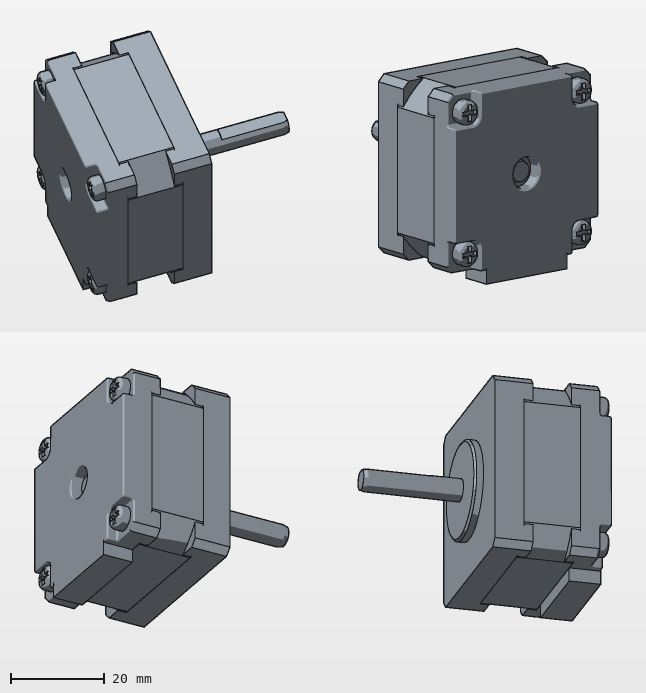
import cadquery as cq


FRAME_WIDTH = 39.3
FRAME_HALF = FRAME_WIDTH / 2
CORNER_CHAMFER = 1.55

STATOR_REAR = 7.0
STATOR_LENGTH = 12.5
STATOR_FRONT = STATOR_REAR + STATOR_LENGTH
SEAT_DEPTH = 2.0
REAR_CAP_END = STATOR_REAR + SEAT_DEPTH
FRONT_CAP_START = STATOR_FRONT - SEAT_DEPTH
FRONT_FACE = 26.0
BOSS_HEIGHT = 2.0
SHAFT_TIP = 50.0

STATOR_RADIUS = 24.0
SEAT_RADIUS = 24.25

BOSS_RADIUS = 11.0
BOSS_CHAMFER = 0.5

SHAFT_RADIUS = 2.5
SHAFT_TAPER_LENGTH = 1.0
SHAFT_TAPER_DEPTH = 0.25
SHAFT_REAR = 2.0
FLAT_LENGTH = 15.0
FLAT_HEIGHT = 2.0

EDGE_RADIUS = 0.5
SHAFT_RECESS_RADIUS = 3.5
SHAFT_RECESS_DEPTH = 3.0
CONNECTOR_WIDTH = 22.0
CONNECTOR_DROP = 3.0
CONNECTOR_LENGTH = STATOR_REAR

SCREW_OFFSET = 15.5
HEAD_RADIUS = 2.7
HEAD_ROUND = 1.05
CROSS_LENGTH = 3.7
CROSS_WIDTH = 1.0
CROSS_DEPTH = 1.0
POCKET_WALL = 12.6
POCKET_RADIUS = 2.0
POCKET_DEPTH = 2.55

TOLERANCE = 0.005
CORNERS = [(sx, sz) for sx in (-1, 1) for sz in (-1, 1)]


def box(x_range, y_range, z_range):
    """Box between the given limits."""
    (x0, x1), (y0, y1), (z0, z1) = x_range, y_range, z_range
    return cq.Workplane("XY").box(x1 - x0, y1 - y0, z1 - z0, centered=False).translate((x0, y0, z0))


def cylinder(radius, y_start, y_end):
    """Cylinder on the motor axis between two Y positions."""
    return cq.Workplane("XZ", origin=(0, y_start, 0)).circle(radius).extrude(y_start - y_end)


def square_block(y_start, y_end):
    """Square length of the motor frame."""
    plane = cq.Workplane("XZ", origin=(0, y_start, 0))
    return plane.rect(FRAME_WIDTH, FRAME_WIDTH).extrude(y_start - y_end)


def cap_block(y_start, y_end):
    """Square length of the motor frame with chamfered corners."""
    return square_block(y_start, y_end).edges("|Y").chamfer(CORNER_CHAMFER)


def make_shaft():
    """Round shaft tapered at both ends, with a flat on top near the tip."""
    tapered_radius = SHAFT_RADIUS - SHAFT_TAPER_DEPTH
    profile = [
        (0, SHAFT_REAR),
        (tapered_radius, SHAFT_REAR),
        (SHAFT_RADIUS, SHAFT_REAR + SHAFT_TAPER_LENGTH),
        (SHAFT_RADIUS, SHAFT_TIP - SHAFT_TAPER_LENGTH),
        (tapered_radius, SHAFT_TIP),
        (0, SHAFT_TIP),
    ]
    shaft = cq.Workplane("XY").polyline(profile).close().revolve(360, (0, 0, 0), (0, 1, 0))
    flat = box(
        (-SHAFT_RADIUS, SHAFT_RADIUS),
        (SHAFT_TIP - FLAT_LENGTH, SHAFT_TIP),
        (FLAT_HEIGHT, SHAFT_RADIUS),
    )
    return shaft.cut(flat)


def make_stator():
    """Stator core with rounded corners, in one piece with the shaft that runs through it."""
    core = square_block(STATOR_REAR, STATOR_FRONT)
    core = core.intersect(cylinder(STATOR_RADIUS, STATOR_REAR, STATOR_FRONT))
    return core.union(make_shaft())


def make_front_cap():
    """Front cap with the pilot boss, the stator seat and the shaft hole."""
    boss_end = FRONT_FACE + BOSS_HEIGHT
    boss = cylinder(BOSS_RADIUS, FRONT_FACE, boss_end).faces(">Y").chamfer(BOSS_CHAMFER)
    cap = cap_block(FRONT_CAP_START, FRONT_FACE).union(boss)
    cap = cap.cut(cylinder(SEAT_RADIUS, FRONT_CAP_START, STATOR_FRONT))
    return cap.cut(cylinder(SHAFT_RADIUS, STATOR_FRONT, boss_end))


def corner_pocket(sx, sz):
    """Space for one screw head: open to the corner, rounded on its inner upright edge and floor."""
    size = 2 * (FRAME_HALF - POCKET_WALL)
    centre = POCKET_WALL + size / 2
    pocket = (
        cq.Workplane("XZ")
        .center(sx * centre, sz * centre)
        .rect(size, size)
        .extrude(-POCKET_DEPTH)
        .edges("|Y")
        .fillet(POCKET_RADIUS)
    )
    return pocket.faces(">Y").edges().fillet(EDGE_RADIUS)


def is_on_outline(edge):
    """True for an edge lying on the sides or the corner chamfers of the frame."""
    middle = edge.positionAt(0.5)
    x, z = abs(middle.x), abs(middle.z)
    on_side = max(x, z) > FRAME_HALF - TOLERANCE
    on_chamfer = x + z > FRAME_WIDTH - CORNER_CHAMFER - TOLERANCE
    return on_side or on_chamfer


def is_rear_rim(edge):
    """True for the sharp edges of the rear face and of the pocket openings."""
    deepest = edge.BoundingBox().ymax
    on_rear_face = deepest < TOLERANCE
    on_pocket_opening = deepest < POCKET_DEPTH + TOLERANCE and is_on_outline(edge)
    return on_rear_face or on_pocket_opening


def round_rear_rim(cap):
    """Round the rear face and the pocket openings."""
    solid = cap.val()
    rim = [edge for edge in solid.Edges() if is_rear_rim(edge)]
    return cq.Workplane(solid.fillet(EDGE_RADIUS, rim))


def screw_head(sx, sz):
    """Rounded screw head with a cross recess, standing on its pocket floor."""
    head = cylinder(HEAD_RADIUS, 0, POCKET_DEPTH).faces("<Y").edges().fillet(HEAD_ROUND)
    for length, width in [(CROSS_LENGTH, CROSS_WIDTH), (CROSS_WIDTH, CROSS_LENGTH)]:
        head = head.cut(cq.Workplane("XZ").rect(length, width).extrude(-CROSS_DEPTH))
    return head.translate((sx * SCREW_OFFSET, 0, sz * SCREW_OFFSET))


def make_rear_cap():
    """Rear cap with the stator seat, shaft recess, screw heads and connector."""
    cap = cap_block(0, REAR_CAP_END)
    for sx, sz in CORNERS:
        cap = cap.cut(corner_pocket(sx, sz))
    cap = round_rear_rim(cap)

    cap = cap.cut(cylinder(SHAFT_RECESS_RADIUS, 0, SHAFT_RECESS_DEPTH))
    recess_mouth = cq.selectors.RadiusNthSelector(-1)
    cap = cap.faces("<Y").edges("%CIRCLE").edges(recess_mouth).fillet(EDGE_RADIUS)

    cap = cap.cut(cylinder(SEAT_RADIUS, STATOR_REAR, REAR_CAP_END))
    cap = cap.cut(cylinder(SHAFT_RADIUS, SHAFT_RECESS_DEPTH, STATOR_REAR))

    connector = box(
        (-CONNECTOR_WIDTH / 2, CONNECTOR_WIDTH / 2),
        (0, CONNECTOR_LENGTH),
        (-FRAME_HALF - CONNECTOR_DROP, -FRAME_HALF + EDGE_RADIUS),
    )
    cap = cap.union(connector)
    for sx, sz in CORNERS:
        cap = cap.union(screw_head(sx, sz))
    return cap


stator = make_stator()
front_cap = make_front_cap()
rear_cap = make_rear_cap()

result = cq.Compound.makeCompound([stator.val(), front_cap.val(), rear_cap.val()])